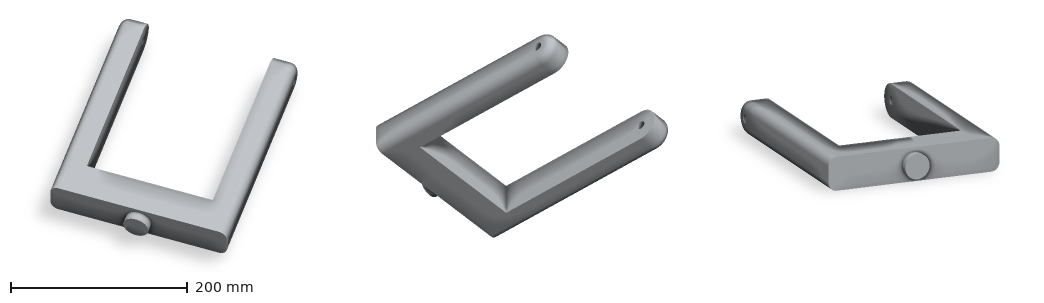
import cadquery as cq

width = 210.0
overall_length = 270.0
thickness = 40.0
arm_width = 30.0
base_depth = 40.0
edge_radius = 10.0
peg_diameter = 30.0
peg_length = 10.0
hole_diameter = 10.0

body_length = overall_length - peg_length
tip_radius = thickness / 2
pivot_y = body_length - tip_radius
gap_width = width - 2 * arm_width
gap_length = body_length - base_depth


def rounded_block():
    """Full-width block with a half-round far end and rounded outer side edges."""
    block = (
        cq.Workplane("YZ")
        .moveTo(0, -tip_radius)
        .lineTo(pivot_y, -tip_radius)
        .threePointArc((body_length, 0), (pivot_y, tip_radius))
        .lineTo(0, tip_radius)
        .close()
        .extrude(width / 2, both=True)
    )
    side_edges = block.faces("<X or >X").edges("not <Y")
    return block.newObject(side_edges.vals()).fillet(edge_radius)


def arm_gap():
    """Space between the arms, open at the tips."""
    return (
        cq.Workplane("XY")
        .box(gap_width, gap_length, thickness, centered=(True, False, True))
        .translate((0, base_depth, 0))
    )


def pivot_holes():
    """One cross bore through both arm tips."""
    return (
        cq.Workplane("YZ")
        .center(pivot_y, 0)
        .circle(hole_diameter / 2)
        .extrude(width / 2, both=True)
    )


def peg():
    """Round stub on the front face of the base."""
    return cq.Workplane("XZ").circle(peg_diameter / 2).extrude(peg_length)


result = rounded_block().cut(arm_gap()).cut(pivot_holes()).union(peg())